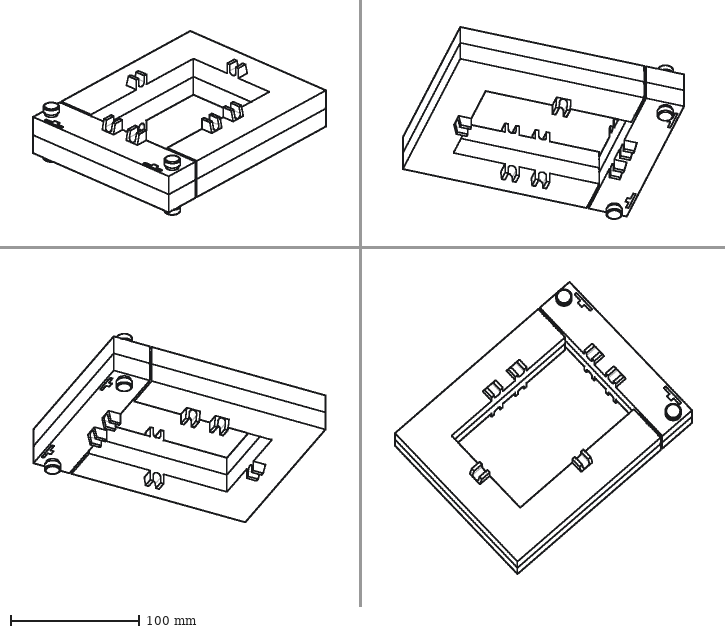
import cadquery as cq


FRAME_X = 142.0
FRAME_Y = 184.0
HALF_HEIGHT = 16.2
LIMB = 31.3

FRONT_Y = -FRAME_Y / 2
WINDOW_X = FRAME_X - 2 * LIMB
WINDOW_Y = FRAME_Y - 2 * LIMB
WINDOW_FRONT_Y = FRONT_Y + LIMB

GAP = 1.73
TONGUE_WIDTH = 24.3
TONGUE_EDGE = 2.2
TONGUE_HEIGHT = 12.9

CLIP_HEIGHT = 8.8
CLIP_WIDTH = 11.8
CLIP_DEPTH_BASE = 10.5
CLIP_DEPTH_TOP = 8.5
CLIP_SLOT = 6.3
CLIP_FLOOR = 0.4
CLIP_PITCH = 12.5
CLIP_OFFSET_X = 1.3

SCREW_EDGE_X = 7.7
SCREW_EDGE_Y = 12.9
SHANK_DIAMETER = 10.1
SHANK_HEIGHT = 2.5
HEAD_DIAMETER = 12.5
HEAD_HEIGHT = 5.0
HEAD_CHAMFER = 1.0

RECESS_EDGE_X = 19.3
RECESS_EDGE_Y = 2.0
RECESS_BAR_X = 18.0
RECESS_BAR_Y = 2.0
RECESS_STEM_X = 4.8
RECESS_STEM_Y = 2.8
RECESS_DEPTH = 0.2


def block(size_x, size_y, size_z, x, y, z):
    """Box centred on x, with its front at y and its bottom at z."""
    return cq.Workplane("XY").box(size_x, size_y, size_z, centered=(True, False, False)).translate((x, y, z))


def frame():
    """Half frame: yoke bar and U-shaped core joined by a tongue on each side."""
    outside = block(FRAME_X, FRAME_Y, HALF_HEIGHT, 0, FRONT_Y, 0)
    window = block(WINDOW_X, WINDOW_Y, HALF_HEIGHT, 0, WINDOW_FRONT_Y, 0)
    gap = block(FRAME_X, GAP, HALF_HEIGHT, 0, WINDOW_FRONT_Y, 0)
    body = outside.cut(window).cut(gap)
    tongue_x = FRAME_X / 2 - TONGUE_EDGE - TONGUE_WIDTH / 2
    for side in (-1, 1):
        body = body.union(block(TONGUE_WIDTH, GAP, TONGUE_HEIGHT, side * tongue_x, WINDOW_FRONT_Y, 0))
    return body


def clip():
    """Cable clip on the origin: front face in the XZ plane, sloping back, round-bottomed slot along Y."""
    body = (
        cq.Workplane("YZ")
        .polyline([(0, 0), (CLIP_DEPTH_BASE, 0), (CLIP_DEPTH_TOP, CLIP_HEIGHT), (0, CLIP_HEIGHT)])
        .close()
        .extrude(CLIP_WIDTH / 2, both=True)
    )
    radius = CLIP_SLOT / 2
    arc_z = CLIP_FLOOR + radius
    slot = (
        cq.Workplane("XZ")
        .moveTo(-radius, CLIP_HEIGHT)
        .lineTo(-radius, arc_z)
        .threePointArc((0, CLIP_FLOOR), (radius, arc_z))
        .lineTo(radius, CLIP_HEIGHT)
        .close()
        .extrude(-CLIP_DEPTH_BASE)
    )
    return body.cut(slot)


def clips():
    """All clips of one half; each front face is flush with a wall of the window."""
    right_x = WINDOW_X / 2
    rear_y = -WINDOW_FRONT_Y
    places = [
        (CLIP_OFFSET_X, rear_y, 0),
        (-right_x, 0, 90),
    ]
    for side in (-1, 1):
        places.append((CLIP_OFFSET_X + side * CLIP_PITCH, WINDOW_FRONT_Y, 180))
        places.append((right_x, side * CLIP_PITCH, -90))
    return [
        clip().rotate((0, 0, 0), (0, 0, 1), turn).translate((x, y, HALF_HEIGHT))
        for x, y, turn in places
    ]


def screw(side):
    """Screw end standing on the yoke bar: a shank under a wider, chamfered head."""
    shank = cq.Workplane("XY").circle(SHANK_DIAMETER / 2).extrude(SHANK_HEIGHT)
    head = (
        cq.Workplane("XY", origin=(0, 0, SHANK_HEIGHT))
        .circle(HEAD_DIAMETER / 2)
        .extrude(HEAD_HEIGHT)
        .faces(">Z")
        .chamfer(HEAD_CHAMFER)
    )
    x = side * (FRAME_X / 2 - SCREW_EDGE_X)
    return shank.union(head).translate((x, FRONT_Y + SCREW_EDGE_Y, HALF_HEIGHT))


def recess(side):
    """T-shaped pocket volume in the yoke bar, with its crossbar along the front edge."""
    x = side * (FRAME_X / 2 - RECESS_EDGE_X)
    bar_y = FRONT_Y + RECESS_EDGE_Y
    floor_z = HALF_HEIGHT - RECESS_DEPTH
    bar = block(RECESS_BAR_X, RECESS_BAR_Y, RECESS_DEPTH, x, bar_y, floor_z)
    stem = block(RECESS_STEM_X, RECESS_STEM_Y, RECESS_DEPTH, x, bar_y + RECESS_BAR_Y, floor_z)
    return bar.union(stem)


def half_shell():
    """Upper half shell as one solid, standing on the parting plane."""
    body = frame()
    for one_clip in clips():
        body = body.union(one_clip)
    for side in (-1, 1):
        body = body.union(screw(side)).cut(recess(side))
    return body


half_shells = []
for mirrored in (False, True):
    shell = half_shell()
    if mirrored:
        shell = shell.mirror("XY")
    half_shells.append(shell.val())

result = cq.Compound.makeCompound(half_shells)